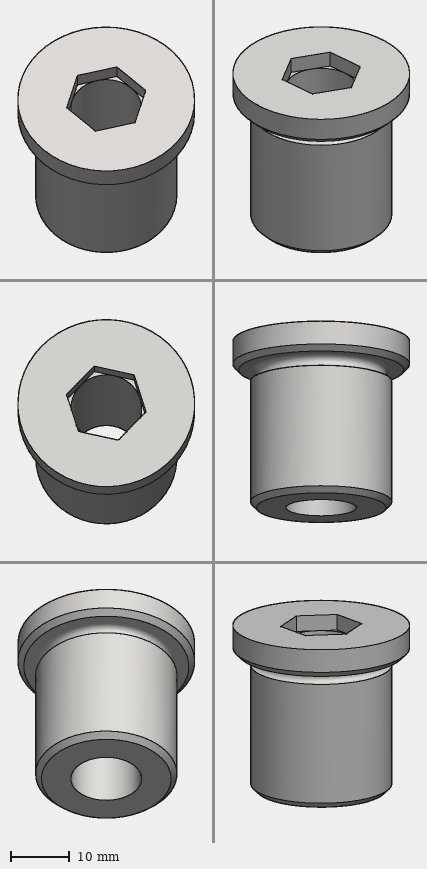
import cadquery as cq
import math

TOTAL_HEIGHT = 29.0
HEAD_DIAMETER = 30.0
HEAD_HEIGHT = 5.0
SHANK_DIAMETER = 24.0
CHAMFER = 1.0
GROOVE_RADIUS = 1.0
BORE_DIAMETER = 12.0
HEX_ACROSS_FLATS = 12.0
HEX_DEPTH = 2.75

HEAD_RADIUS = HEAD_DIAMETER / 2
SHANK_RADIUS = SHANK_DIAMETER / 2
HEAD_BOTTOM = TOTAL_HEIGHT - HEAD_HEIGHT
HEX_SIDES = 6
HEX_ACROSS_CORNERS = HEX_ACROSS_FLATS / math.cos(math.pi / HEX_SIDES)


def make_body():
    """Headed bushing with a half-round relief groove under the head, turned about Z."""
    profile = (
        cq.Workplane("YZ")
        .moveTo(0, 0)
        .lineTo(-(SHANK_RADIUS - CHAMFER), 0)
        .lineTo(-SHANK_RADIUS, CHAMFER)
        .lineTo(-SHANK_RADIUS, HEAD_BOTTOM - 2 * GROOVE_RADIUS)
        .threePointArc(
            (-(SHANK_RADIUS - GROOVE_RADIUS), HEAD_BOTTOM - GROOVE_RADIUS),
            (-SHANK_RADIUS, HEAD_BOTTOM),
        )
        .lineTo(-(HEAD_RADIUS - CHAMFER), HEAD_BOTTOM)
        .lineTo(-HEAD_RADIUS, HEAD_BOTTOM + CHAMFER)
        .lineTo(-HEAD_RADIUS, TOTAL_HEIGHT)
        .lineTo(0, TOTAL_HEIGHT)
        .close()
    )
    return profile.revolve(360, (0, 0, 0), (0, 1, 0))


def make_bore():
    """Round hole through the full height."""
    return cq.Workplane("XY").circle(BORE_DIAMETER / 2).extrude(TOTAL_HEIGHT)


def make_hex_socket():
    """Shallow hexagon in the top face, with corners on the X axis and flats touching the bore."""
    return (
        cq.Workplane("XY")
        .workplane(offset=TOTAL_HEIGHT - HEX_DEPTH)
        .polygon(HEX_SIDES, HEX_ACROSS_CORNERS)
        .extrude(HEX_DEPTH)
    )


result = make_body().cut(make_bore()).cut(make_hex_socket())